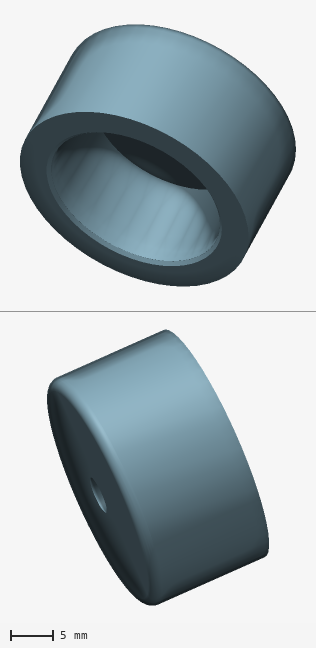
import cadquery as cq

outer_diameter = 29.35
length = 15.23
back_edge_radius = 1.25

bore_mouth_diameter = 21.68
bore_floor_diameter = 20.3
bore_depth = 11.6
mouth_chamfer = 0.4

hole_diameter = 4.5
hole_chamfer = 0.4


def cone(start_diameter, end_diameter, start_y, depth):
    """Conical frustum along +Y, starting at start_y."""
    profile = (
        cq.Workplane("XY")
        .moveTo(0, start_y)
        .lineTo(start_diameter / 2, start_y)
        .lineTo(end_diameter / 2, start_y + depth)
        .lineTo(0, start_y + depth)
        .close()
    )
    return profile.revolve(360, (0, 0, 0), (0, 1, 0))


def chamfer_cone(diameter, chamfer, start_y):
    """Cutter for a 45 degree chamfer at the -Y end of a bore."""
    return cone(diameter + 2 * chamfer, diameter, start_y, chamfer)


body = cone(outer_diameter, outer_diameter, 0, length)
body = body.faces(">Y").edges().fillet(back_edge_radius)

body = body.cut(cone(bore_mouth_diameter, bore_floor_diameter, 0, bore_depth))
body = body.cut(chamfer_cone(bore_mouth_diameter, mouth_chamfer, 0))

body = body.cut(cone(hole_diameter, hole_diameter, 0, length))
result = body.cut(chamfer_cone(hole_diameter, hole_chamfer, bore_depth))